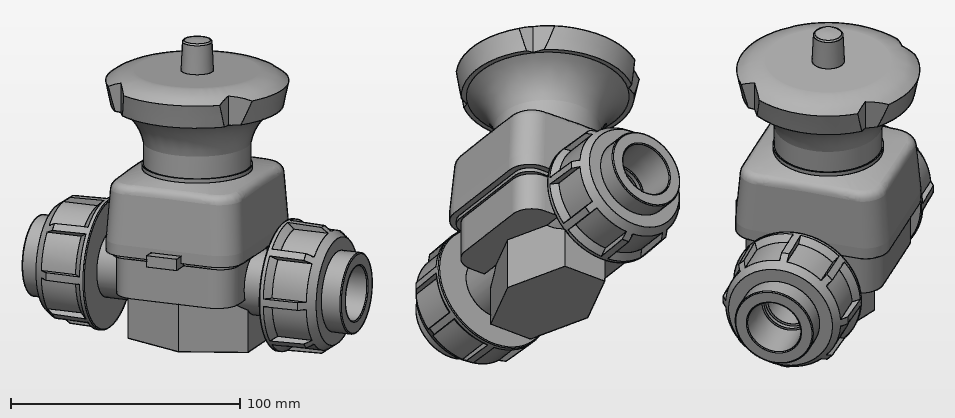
import cadquery as cq
import math


half_length = 75.5

body_half_x = 28.4
body_half_y = 31.3
body_corner_radius = 10.1
body_top = 13.5
body_seat_bottom = -4.7
body_tube_radius = 14.6
body_bore_radius = 9.8
foot_bottom = -29.5
foot_ridge_y = 21.3
foot_end_y = 10.5

bonnet_half_x = 32.0
bonnet_half_y = 35.0
bonnet_corner_radius = 10.9
bonnet_bottom = 15.3
bonnet_skirt_top = 20.4
bonnet_shoulder = 46.0
bonnet_taper_x = 1.5
bonnet_taper_y = 2.0
bonnet_shoulder_round = 4.1
shoulder_pick_margin = 0.2
collar_radius = 24.2
collar_bottom = 48.6
collar_top = 50.5
roof_crease_angle = 33.0

diaphragm_inset = 2.9
tab_half_width = 7.1
tab_top = 18.5
tab_end_y = -40.0

wheel_radius = 40.0
wheel_neck_radius = 23.5
neck_top = 60.4
flare_mid_radius = 28.0
flare_mid_height = 70.7
flare_radius = 35.5
rim_bottom = 77.6
rim_bottom_radius = 37.8
rim_top = 88.3
wheel_top = 92.9
wheel_flat_radius = 27.6
stem_base_radius = 7.1
stem_neck_radius = 6.5
stem_neck_height = 105.9
stem_tip_radius = 5.9
stem_edge_height = 106.6
stem_top = 107.0
notch_count = 4
notch_root_radius = 36.0
notch_first_angle = 45.0
notch_outer_radius = 45.3
notch_steep_reach = (5.5, -8.2)
notch_shallow_reach = (4.0, 14.2)

nut_back = 41.4
nut_front = 66.3
nut_face_radius = 23.9
nut_drum_radius = 26.5
nut_radius = 29.1
nut_edge_chamfer = 0.5
flange_front = 43.5
flange_slope_end = 46.5
rib_front = 59.5
rib_front_radius = 28.7
rib_count = 8
rib_width = 3.5

connector_radius = 18.0
connector_inner_end = 54.4
connector_chamfer = 0.5
connector_bore_radius = 10.9
socket_mouth_radius = 12.2
socket_floor_radius = 11.8
socket_depth = 19.0


def x_cylinder(radius, start, end):
    """Cylinder along the pipe axis."""
    return cq.Workplane("YZ").workplane(offset=start).circle(radius).extrude(end - start)


def rounded_block(half_x, half_y, radius, bottom, top):
    """Upright block with rounded corners."""
    block = cq.Workplane("XY").workplane(offset=bottom).rect(2 * half_x, 2 * half_y).extrude(top - bottom)
    return block.edges("|Z").fillet(radius)


def rounded_wire(half_x, half_y, radius, height):
    """Rounded rectangle outline lying flat at the given height."""
    any_thickness = radius
    block = rounded_block(half_x, half_y, radius, height, height + any_thickness)
    return block.faces("<Z").wires().val()


def creased_circle(radius, height):
    """Circle made of eight arcs that end at the roof creases."""
    narrow_span = 90 - 2 * roof_crease_angle
    arcs = []
    for axis_angle in (0, 90, 180, 270):
        start = axis_angle - roof_crease_angle
        end = axis_angle + roof_crease_angle
        arcs.append(cq.Edge.makeCircle(radius, (0, 0, height), (0, 0, 1), start, end))
        arcs.append(cq.Edge.makeCircle(radius, (0, 0, height), (0, 0, 1), end, end + narrow_span))
    return cq.Wire.assembleEdges(arcs)


def rounded_loft(lower_wire, upper_wire):
    """Ruled solid between two rounded outlines."""
    return cq.Workplane("XY").add(cq.Solid.makeLoft([lower_wire, upper_wire], True))


def make_tab():
    """Marking tab of the diaphragm, reaching out past the bonnet skirt toward -Y."""
    root_y = -(bonnet_half_y - diaphragm_inset)
    return cq.Workplane("XY").box(
        2 * tab_half_width, root_y - tab_end_y, tab_top - body_top, centered=(True, False, False)
    ).translate((0, tab_end_y, body_top))


def make_body():
    """Seat block on a six-sided foot, with a straight tube through both."""
    seat = rounded_block(body_half_x, body_half_y, body_corner_radius, body_seat_bottom, body_top)
    foot_outline = [
        (body_half_x, foot_end_y), (0, foot_ridge_y), (-body_half_x, foot_end_y),
        (-body_half_x, -foot_end_y), (0, -foot_ridge_y), (body_half_x, -foot_end_y),
    ]
    foot = (
        cq.Workplane("XY").workplane(offset=foot_bottom)
        .polyline(foot_outline).close().extrude(body_seat_bottom - foot_bottom)
    )
    tube = x_cylinder(body_tube_radius, -connector_inner_end, connector_inner_end)
    bore = x_cylinder(body_bore_radius, -connector_inner_end, connector_inner_end)
    return seat.union(foot).union(tube).cut(bore).cut(make_diaphragm())


def make_diaphragm():
    """Flat plate clamped between body and bonnet, with its tab."""
    plate = rounded_block(
        bonnet_half_x - diaphragm_inset, bonnet_half_y - diaphragm_inset,
        bonnet_corner_radius - diaphragm_inset, body_top, bonnet_bottom,
    )
    return plate.union(make_tab())


def make_bonnet():
    """Tapered cover with a rounded shoulder, a sloping roof and a round collar."""
    skirt = rounded_block(
        bonnet_half_x, bonnet_half_y, bonnet_corner_radius, bonnet_bottom, bonnet_skirt_top
    )
    skirt_wire = rounded_wire(bonnet_half_x, bonnet_half_y, bonnet_corner_radius, bonnet_skirt_top)
    shoulder_wire = rounded_wire(
        bonnet_half_x - bonnet_taper_x, bonnet_half_y - bonnet_taper_y,
        bonnet_corner_radius, bonnet_shoulder,
    )
    roof_wire = creased_circle(collar_radius, collar_bottom)
    walls = rounded_loft(skirt_wire, shoulder_wire)
    roof = rounded_loft(shoulder_wire, roof_wire)
    shoulder_box = cq.selectors.BoxSelector(
        (-bonnet_half_x, -bonnet_half_y, bonnet_shoulder - shoulder_pick_margin),
        (bonnet_half_x, bonnet_half_y, bonnet_shoulder + shoulder_pick_margin),
    )
    cover = walls.union(roof).edges(shoulder_box).fillet(bonnet_shoulder_round)
    collar = (
        cq.Workplane("XY").workplane(offset=collar_bottom)
        .circle(collar_radius).extrude(collar_top - collar_bottom)
    )
    return skirt.union(cover).union(collar).cut(make_tab())


def make_wheel_notch():
    """Upright V-shaped cutter with one short and one long flank, on the +X side."""
    steep_run, steep_side = notch_steep_reach
    shallow_run, shallow_side = notch_shallow_reach
    outline = [
        (notch_root_radius, 0),
        (notch_root_radius + steep_run, steep_side),
        (notch_outer_radius, steep_side),
        (notch_outer_radius, shallow_side),
        (notch_root_radius + shallow_run, shallow_side),
    ]
    return (
        cq.Workplane("XY").workplane(offset=rim_bottom)
        .polyline(outline).close().extrude(wheel_top - rim_bottom)
    )


def make_handwheel():
    """Handwheel with flared neck, domed top, finger notches and drafted stem."""
    dome_run = wheel_radius - wheel_flat_radius
    dome_drop = wheel_top - rim_top
    dome_arc_radius = (dome_run ** 2 + dome_drop ** 2) / (2 * dome_drop)
    half_angle = 0.5 * math.asin(dome_run / dome_arc_radius)
    dome_middle = (
        wheel_flat_radius + dome_arc_radius * math.sin(half_angle),
        wheel_top - dome_arc_radius * (1 - math.cos(half_angle)),
    )
    wheel = (
        cq.Workplane("XZ")
        .moveTo(0, collar_top)
        .lineTo(wheel_neck_radius, collar_top)
        .lineTo(wheel_neck_radius, neck_top)
        .threePointArc((flare_mid_radius, flare_mid_height), (flare_radius, rim_bottom))
        .lineTo(rim_bottom_radius, rim_bottom)
        .lineTo(wheel_radius, rim_top)
        .threePointArc(dome_middle, (wheel_flat_radius, wheel_top))
        .lineTo(stem_base_radius, wheel_top)
        .lineTo(stem_neck_radius, stem_neck_height)
        .lineTo(stem_tip_radius, stem_edge_height)
        .lineTo(0, stem_top)
        .close()
        .revolve(360, (0, 0, 0), (0, 1, 0))
    )
    for index in range(notch_count):
        angle = notch_first_angle + index * 360 / notch_count
        wheel = wheel.cut(make_wheel_notch().rotate((0, 0, 0), (0, 0, 1), angle))
    return wheel


def make_nut():
    """Ribbed union nut on the +X side, stepped inside to fit tube and connector."""
    drum_front = nut_front - (nut_front - rib_front) * (
        (nut_drum_radius - nut_face_radius) / (rib_front_radius - nut_face_radius)
    )
    blank = (
        cq.Workplane("XY")
        .polyline([
            (nut_back, 0), (nut_back, nut_radius - nut_edge_chamfer),
            (nut_back + nut_edge_chamfer, nut_radius), (flange_front, nut_radius),
            (rib_front, rib_front_radius), (nut_front, nut_face_radius), (nut_front, 0),
        ])
        .close().revolve(360, (0, 0, 0), (1, 0, 0))
    )
    pockets = (
        cq.Workplane("XY")
        .polyline([
            (flange_front, nut_radius), (flange_slope_end, nut_drum_radius),
            (drum_front, nut_drum_radius), (drum_front, nut_radius),
        ])
        .close().revolve(360, (0, 0, 0), (1, 0, 0))
    )
    rib_bar = cq.Workplane("XY").box(
        nut_front - nut_back, rib_width, 2 * nut_radius, centered=(False, True, False)
    ).translate((nut_back, 0, 0))
    for index in range(rib_count):
        pockets = pockets.cut(rib_bar.rotate((0, 0, 0), (1, 0, 0), index * 360 / rib_count))
    nut = blank.cut(pockets)
    tube_hole = x_cylinder(body_tube_radius, nut_back, connector_inner_end)
    connector_hole = x_cylinder(connector_radius, connector_inner_end, nut_front)
    return nut.cut(tube_hole).cut(connector_hole)


def make_connector():
    """Pipe connector on the +X side, with a glue socket at its outer end."""
    socket_floor = half_length - socket_depth
    chamfer_start = half_length - connector_chamfer
    return (
        cq.Workplane("XY")
        .polyline([
            (connector_inner_end, connector_bore_radius),
            (connector_inner_end, connector_radius),
            (chamfer_start, connector_radius),
            (half_length, connector_radius - connector_chamfer),
            (half_length, socket_mouth_radius + connector_chamfer),
            (chamfer_start, socket_mouth_radius),
            (socket_floor, socket_floor_radius),
            (socket_floor, connector_bore_radius),
        ])
        .close().revolve(360, (0, 0, 0), (1, 0, 0))
    )


body = make_body()
diaphragm = make_diaphragm()
bonnet = make_bonnet()
handwheel = make_handwheel()

nuts = []
connectors = []
for side_angle in (0, 180):
    nuts.append(make_nut().rotate((0, 0, 0), (0, 0, 1), side_angle))
    connectors.append(make_connector().rotate((0, 0, 0), (0, 0, 1), side_angle))

result = cq.Compound.makeCompound([
    body.val(),
    diaphragm.val(),
    bonnet.val(),
    handwheel.val(),
    *[nut.val() for nut in nuts],
    *[connector.val() for connector in connectors],
])